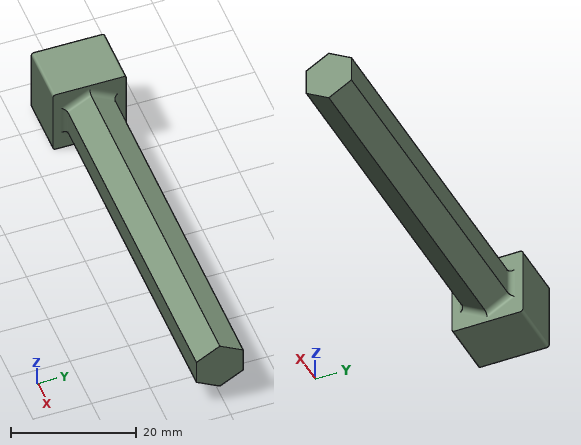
import cadquery as cq
import math

total_length = 70.0
head_length = 10.0
head_width = 12.5
head_edge_radius = 0.5
hex_across_flats = 8.0
neck_fillet_radius = 1.0

hex_across_corners = hex_across_flats / math.cos(math.pi / 6)

head = (
    cq.Workplane("YZ")
    .rect(head_width, head_width)
    .extrude(head_length)
    .edges("|X")
    .fillet(head_edge_radius)
)

shank = (
    cq.Workplane("YZ", origin=(head_length, 0, 0))
    .transformed(rotate=(0, 0, 90))
    .polygon(6, hex_across_corners)
    .extrude(total_length - head_length)
)

joint_reach = (head_width + hex_across_corners) / 4
joint_edges = cq.selectors.BoxSelector(
    (head_length - neck_fillet_radius, -joint_reach, -joint_reach),
    (head_length + neck_fillet_radius, joint_reach, joint_reach),
)
result = head.union(shank).edges(joint_edges).fillet(neck_fillet_radius)